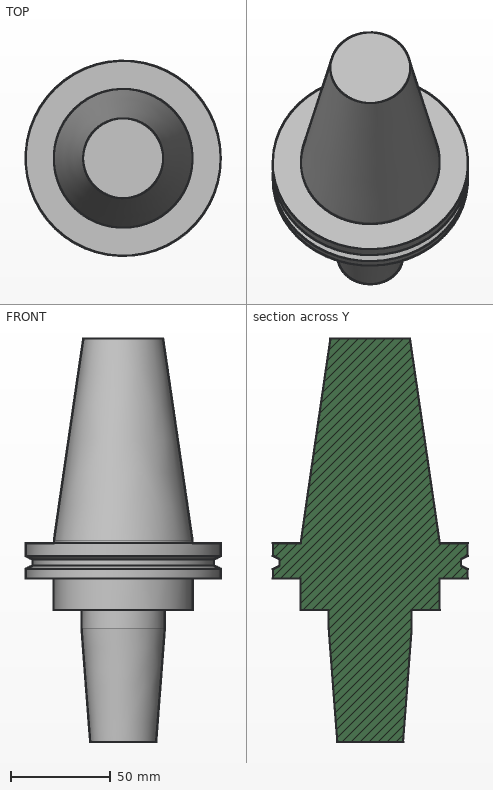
import cadquery as cq

taper_length = 101.5
gauge_collar_height = 1.5
flange_height = 17.9
hub_height = 15.8
neck_height = 9.3
total_height = 203.2

flange_diameter = 98.3
gauge_diameter = 70.0
hub_diameter = 70.3
neck_diameter = 42.0
nose_tip_diameter = 33.3
taper_rate = 7 / 24
taper_tip_diameter = gauge_diameter - taper_rate * taper_length

groove_floor_diameter = 91.6
upper_rim_height = 6.5
lower_rim_height = 4.9
groove_flank_height = 1.6

flange_top = -gauge_collar_height
flange_bottom = flange_top - flange_height
hub_bottom = flange_bottom - hub_height
neck_bottom = hub_bottom - neck_height
nose_bottom = taper_length - total_height
groove_top = flange_top - upper_rim_height
groove_bottom = flange_bottom + lower_rim_height

section = [
    (0, taper_length),
    (taper_tip_diameter, taper_length),
    (gauge_diameter, 0),
    (gauge_diameter, flange_top),
    (flange_diameter, flange_top),
    (flange_diameter, groove_top),
    (groove_floor_diameter, groove_top - groove_flank_height),
    (groove_floor_diameter, groove_bottom + groove_flank_height),
    (flange_diameter, groove_bottom),
    (flange_diameter, flange_bottom),
    (hub_diameter, flange_bottom),
    (hub_diameter, hub_bottom),
    (neck_diameter, hub_bottom),
    (neck_diameter, neck_bottom),
    (nose_tip_diameter, nose_bottom),
    (0, nose_bottom),
]

result = (
    cq.Workplane("XZ")
    .polyline([(diameter / 2, z) for diameter, z in section])
    .close()
    .revolve(360, (0, 0, 0), (0, 1, 0))
)